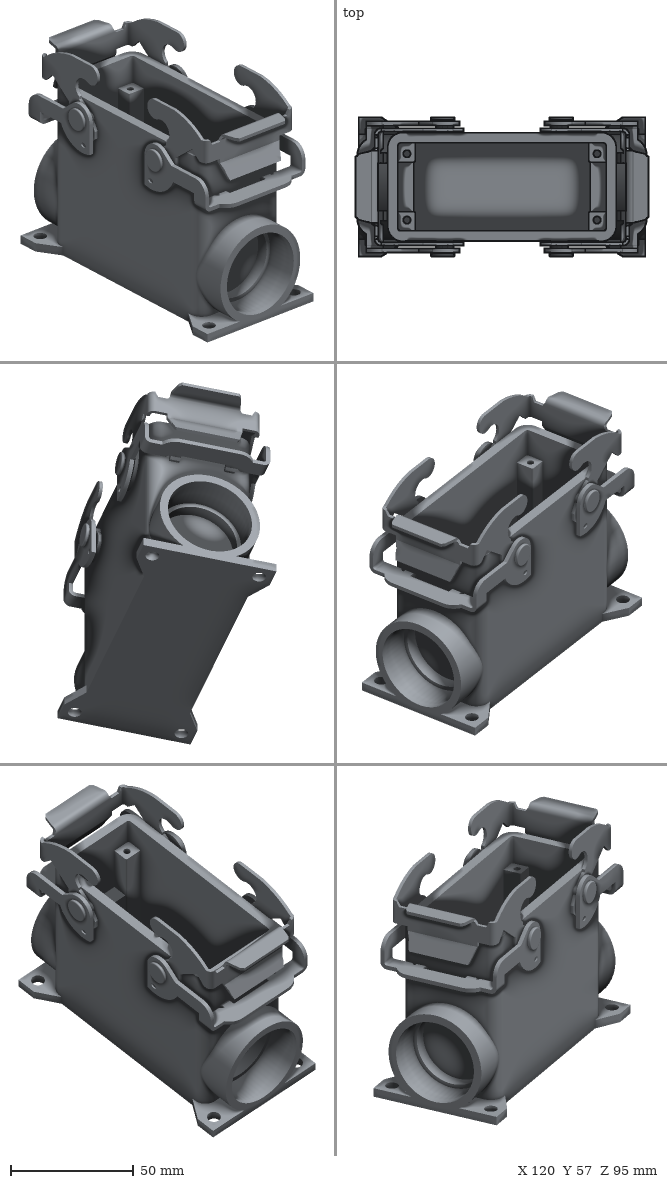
import cadquery as cq
import math

BODY_HALF_LENGTH = 46.7
BODY_HALF_WIDTH = 22.2
BODY_HEIGHT = 77.3
BODY_CORNER_RADIUS = 5.9
CAVITY_HALF_LENGTH = 42.6
CAVITY_HALF_WIDTH = 18.0
CAVITY_CORNER_RADIUS = 1.2
FLANGE_THICKNESS = 3.8
FLANGE_HALF_WIDTH = 57.0 / 2
FLANGE_END = 58.7
FLANGE_TAPER_START = 49.4
FLANGE_TAPER_END = 39.4
SCREW_HOLE_DIAMETER = 5.6
SCREW_HOLE_INSET = 5.6

ENTRY_HEIGHT = 22.1
ENTRY_RADIUS = 21.5
BORE_RADIUS = 18.0
BORE_FLOOR = 43.8
RECESS_RADIUS = 16.2
RECESS_FLOOR = 38.4
PAD_FACE = 36.0

POST_FACE = 35.5
POST_INNER_Y = 10.1
POST_HEIGHT = 64.8
POST_EDGE_RADIUS = 0.7
POST_HOLE_DIAMETER = 3.0
POST_HOLE_DEPTH = 12.0
POST_HOLE_X = 38.9
POST_HOLE_Y = 13.5
WALL_OVERLAP = 1.2

PIVOT_X = -24.2
PIVOT_Z = 70.0
HUB_RADIUS = 7.0
HUB_EDGE_X = PIVOT_X + HUB_RADIUS
PIN_HEAD_RADIUS = 9.7 / 2
PIN_HEAD_THICKNESS = 1.1
PIN_HEAD_FILLET = 0.5
PIN_COLLAR_RADIUS = 4.4
PIN_NECK_LENGTH = 7.3
PIN_NECK_WIDTH = 5.2
PIN_NECK_OFFSET = 0.8
PIN_ROOT = BODY_HALF_WIDTH - WALL_OVERLAP

HOOK_SHEET = 1.4
HOOK_OUTER_Y = 24.0
HOOK_BACK_X = -52.1
HOOK_BEND_RADIUS = 2.6
HOOK_TOP = 95.0
HOOK_SHOULDER = 87.8
HOOK_BOTTOM = 77.6
NOSE_RADIUS = 8.8 / 2
NOSE_X = -20.0
THROAT_RADIUS = 10.4 / 2
THROAT_X = -24.2
THROAT_Z = 82.4
NECK_X = -27.2
NECK_BASE_Z = 76.8
CROWN_MID = (-41.4, 92.6)
CROWN_END = (-32.4, HOOK_TOP)
NOTCH_FOOT_X = -48.1
NOTCH_APEX = (-44.0, 81.7)
NOTCH_END_Z = 73.4
TAIL_SHOULDER = (-21.6, 72.0)
TAIL_RIGHT_Z = 65.7
TAIL_LEFT_X = -33.5
TAIL_RADIUS = 9.2
TAIL_CENTRE_Z = 68.4
GRIP_TOP = 88.8
GRIP_END = -60.0
GRIP_BEND_RADIUS = 2.9
GRIP_EDGE_HALF_WIDTH = 12.2
GRIP_TIP_HALF_WIDTH = 13.4
GRIP_CORNER = 1.4
GRIP_NECK_HALF_WIDTH = 14.8
GRIP_ROOT_HALF_WIDTH = 15.8
BACK_WALL_TOP = 85.4
SHOULDER_FOOT_Y = 20.2
BACK_WALL_HALF_WIDTH = HOOK_OUTER_Y - HOOK_BEND_RADIUS
TONGUE_BEND_Z = 75.6
TONGUE_TIP_X = -55.7
TONGUE_TIP_Z = 68.3
TONGUE_ROOT_HALF_WIDTH = 16.1
TONGUE_TIP_HALF_WIDTH = 13.7
TONGUE_EDGE_HALF_WIDTH = 12.7
TONGUE_EDGE_Z = 67.4

BAIL_SHEET = 1.8
BAIL_OUTER_Y = 26.9
BAIL_BEND_RADIUS = 2.9
BAIL_BOTTOM = 57.6
BAIL_BEND_TOP = BAIL_BOTTOM + BAIL_BEND_RADIUS
BAIL_STRIP_TOP = BAIL_BOTTOM + BAIL_SHEET
BAIL_LEG_OUTER_X = -55.5
BAIL_LEG_INNER_X = -48.5
BAIL_STRIP_X = -59.3
BAIL_RECESS_X = -50.9
BAIL_ARM_TOP = 71.0
BAIL_ARM_BOTTOM = 64.0
BAIL_ELBOW_RADIUS = 6.4
RAMP_START_X = -34.0
CAM_HEEL_Z = 56.0
CAM_MID = (-26.9, 56.3)
CAM_START_X = -35.3
BULGE_MID = (-58.3, 16.4)
BULGE_FLAT_Y = 12.6
BULGE_ROOT_Y = 19.3
RELIEF_X = -49.7
RELIEF_OUTER_Y = 15.8
RELIEF_INNER_Y = 14.8
TAB_INNER_Y = 9.7
TAB_OUTER_Y = 13.9
TAB_TIP_TOP = (-46.9, 58.2)
TAB_TIP_BOTTOM = (-47.4, 56.7)
TAB_ROOT_X = BAIL_LEG_INNER_X - 1.2
DIMPLE_X = -21.1
DIMPLE_Z = 59.1
DIMPLE_LENGTH = 2.9
DIMPLE_WIDTH = 2.0
DIMPLE_DEPTH = 0.6


def block(x0, x1, y0, y1, z0, z1):
    """Box between two opposite corners."""
    return cq.Workplane("XY").box(x1 - x0, y1 - y0, z1 - z0, centered=False).translate((x0, y0, z0))


def along_y(y):
    """XZ sketch plane at the given Y; positive extrusion runs towards -Y."""
    plane = cq.Plane(origin=(0, y, 0), xDir=(1, 0, 0), normal=(0, -1, 0))
    return cq.Workplane(plane)


def mirrored_y(points):
    """Close a Y-symmetric outline given by its +Y half, as (y, other) pairs."""
    return points + [(-y, other) for y, other in reversed(points)]


def both_sides(solid, plane):
    return solid.union(solid.mirror(plane))


def round_bar(radius, x0, x1):
    """Cylinder along X on the cable entry axis."""
    return cq.Workplane("YZ", origin=(x0, 0, ENTRY_HEIGHT)).circle(radius).extrude(x1 - x0)


def mounting_flange():
    half = [
        (FLANGE_HALF_WIDTH, -FLANGE_END),
        (FLANGE_HALF_WIDTH, -FLANGE_TAPER_START),
        (BODY_HALF_WIDTH, -FLANGE_TAPER_END),
    ]
    outline = [(x, y) for y, x in mirrored_y(half)]
    hole_x = -FLANGE_END + SCREW_HOLE_INSET
    hole_y = FLANGE_HALF_WIDTH - SCREW_HOLE_INSET
    plate = cq.Workplane("XY").polyline(outline).close().extrude(FLANGE_THICKNESS)
    return (
        plate.faces(">Z").workplane(origin=(0, 0, 0))
        .pushPoints([(hole_x, hole_y), (hole_x, -hole_y)]).hole(SCREW_HOLE_DIAMETER)
    )


def insert_post():
    post = block(-CAVITY_HALF_LENGTH - WALL_OVERLAP, -POST_FACE,
                 POST_INNER_Y, CAVITY_HALF_WIDTH + WALL_OVERLAP,
                 FLANGE_THICKNESS - WALL_OVERLAP, POST_HEIGHT)
    post = post.edges("|Z and >X and <Y").fillet(POST_EDGE_RADIUS)
    hole = (
        cq.Workplane("XY", origin=(-POST_HOLE_X, POST_HOLE_Y, POST_HEIGHT))
        .circle(POST_HOLE_DIAMETER / 2).extrude(-POST_HOLE_DEPTH)
    )
    return post.cut(hole)


def housing():
    shell = (
        cq.Workplane("XY").rect(2 * BODY_HALF_LENGTH, 2 * BODY_HALF_WIDTH).extrude(BODY_HEIGHT)
        .edges("|Z").fillet(BODY_CORNER_RADIUS)
    )
    shell = shell.union(both_sides(mounting_flange(), "YZ"))
    shell = shell.union(round_bar(ENTRY_RADIUS, -FLANGE_END, FLANGE_END))
    cavity = (
        cq.Workplane("XY", origin=(0, 0, FLANGE_THICKNESS))
        .rect(2 * CAVITY_HALF_LENGTH, 2 * CAVITY_HALF_WIDTH).extrude(BODY_HEIGHT)
        .edges("|Z").fillet(CAVITY_CORNER_RADIUS)
    )
    shell = shell.cut(cavity)
    pad = block(-CAVITY_HALF_LENGTH - WALL_OVERLAP, -PAD_FACE, -CAVITY_HALF_WIDTH, CAVITY_HALF_WIDTH,
                FLANGE_THICKNESS - WALL_OVERLAP, ENTRY_HEIGHT + ENTRY_RADIUS)
    end_inserts = pad.union(both_sides(insert_post(), "XZ"))
    shell = shell.union(both_sides(end_inserts, "YZ"))
    entry = round_bar(BORE_RADIUS, -FLANGE_END, -BORE_FLOOR)
    entry = entry.union(round_bar(RECESS_RADIUS, -FLANGE_END, -RECESS_FLOOR))
    return shell.cut(both_sides(entry, "YZ"))


def hook_profile():
    """Side outline of the hooked arms, extruded across the whole lever."""
    nose_z = HOOK_TOP - NOSE_RADIUS
    lean = math.atan2(nose_z - THROAT_Z, NOSE_X - THROAT_X)
    throat_end = (NOSE_X - NOSE_RADIUS * math.cos(lean), nose_z - NOSE_RADIUS * math.sin(lean))
    neck_z = THROAT_Z - math.sqrt(THROAT_RADIUS**2 - (NECK_X - THROAT_X) ** 2)
    tail_mid = (PIVOT_X, TAIL_CENTRE_Z - TAIL_RADIUS)
    tail_end_z = TAIL_CENTRE_Z - math.sqrt(TAIL_RADIUS**2 - HUB_RADIUS**2)
    return (
        along_y(HOOK_OUTER_Y)
        .moveTo(HOOK_BACK_X, HOOK_BOTTOM)
        .lineTo(HOOK_BACK_X, HOOK_SHOULDER)
        .lineTo(HOOK_BACK_X + HOOK_BEND_RADIUS, HOOK_SHOULDER)
        .threePointArc(CROWN_MID, CROWN_END)
        .lineTo(NOSE_X, HOOK_TOP)
        .threePointArc((NOSE_X + NOSE_RADIUS, nose_z), throat_end)
        .threePointArc((THROAT_X - THROAT_RADIUS, THROAT_Z), (NECK_X, neck_z))
        .lineTo(NECK_X, NECK_BASE_Z)
        .threePointArc(TAIL_SHOULDER, (HUB_EDGE_X, TAIL_RIGHT_Z))
        .lineTo(HUB_EDGE_X, tail_end_z)
        .threePointArc(tail_mid, (TAIL_LEFT_X, TAIL_CENTRE_Z))
        .lineTo(TAIL_LEFT_X, NOTCH_END_Z)
        .lineTo(*NOTCH_APEX)
        .lineTo(NOTCH_FOOT_X, HOOK_BOTTOM)
        .close().extrude(2 * HOOK_OUTER_Y)
    )


def hook_arms():
    """Both hooked arms with their rounded corners; the back wall is left open."""
    length = BODY_HALF_LENGTH
    outer = block(HOOK_BACK_X, HOOK_BACK_X + length, -HOOK_OUTER_Y, HOOK_OUTER_Y, 0, HOOK_TOP)
    outer = outer.edges("|Z and <X").fillet(HOOK_BEND_RADIUS)
    inner_y = HOOK_OUTER_Y - HOOK_SHEET
    inner = block(HOOK_BACK_X + HOOK_SHEET, HOOK_BACK_X + length, -inner_y, inner_y, 0, HOOK_TOP)
    inner = inner.edges("|Z and <X").fillet(HOOK_BEND_RADIUS - HOOK_SHEET)
    opening = block(HOOK_BACK_X, HOOK_BACK_X + HOOK_SHEET, -BACK_WALL_HALF_WIDTH, BACK_WALL_HALF_WIDTH,
                    0, HOOK_TOP)
    return hook_profile().intersect(outer.cut(inner).cut(opening))


def back_sheet():
    """Bent sheet: thumb grip on top, back wall, tongue slanting outwards below."""
    inner_x = HOOK_BACK_X + HOOK_SHEET
    grip_bottom = GRIP_TOP - HOOK_SHEET
    bend_x = inner_x - GRIP_BEND_RADIUS
    bend_z = GRIP_TOP - GRIP_BEND_RADIUS
    diagonal = math.sqrt(0.5)
    outer_mid = (bend_x + GRIP_BEND_RADIUS * diagonal, bend_z + GRIP_BEND_RADIUS * diagonal)
    small = GRIP_BEND_RADIUS - HOOK_SHEET
    inner_mid = (bend_x + small * diagonal, bend_z + small * diagonal)
    slant = math.atan2(HOOK_BACK_X - TONGUE_TIP_X, TONGUE_BEND_Z - TONGUE_TIP_Z)
    tip_inner = (TONGUE_TIP_X + HOOK_SHEET * math.cos(slant), TONGUE_TIP_Z - HOOK_SHEET * math.sin(slant))
    inner_bend_z = TONGUE_BEND_Z - HOOK_SHEET * math.tan(slant / 2)
    sheet = (
        along_y(HOOK_OUTER_Y)
        .moveTo(GRIP_END, GRIP_TOP)
        .lineTo(bend_x, GRIP_TOP)
        .threePointArc(outer_mid, (inner_x, bend_z))
        .lineTo(inner_x, inner_bend_z)
        .lineTo(*tip_inner)
        .lineTo(TONGUE_TIP_X, TONGUE_TIP_Z)
        .lineTo(HOOK_BACK_X, TONGUE_BEND_Z)
        .lineTo(HOOK_BACK_X, bend_z)
        .threePointArc(inner_mid, (bend_x, grip_bottom))
        .lineTo(GRIP_END, grip_bottom)
        .close().extrude(2 * HOOK_OUTER_Y)
    )
    face = mirrored_y([
        (TONGUE_EDGE_HALF_WIDTH, TONGUE_EDGE_Z), (TONGUE_TIP_HALF_WIDTH, TONGUE_TIP_Z),
        (TONGUE_ROOT_HALF_WIDTH, TONGUE_BEND_Z), (TONGUE_ROOT_HALF_WIDTH, HOOK_BOTTOM),
        (BACK_WALL_HALF_WIDTH, HOOK_BOTTOM), (BACK_WALL_HALF_WIDTH, HOOK_SHOULDER),
        (SHOULDER_FOOT_Y, BACK_WALL_TOP), (GRIP_ROOT_HALF_WIDTH, BACK_WALL_TOP),
        (GRIP_NECK_HALF_WIDTH, grip_bottom), (GRIP_NECK_HALF_WIDTH, GRIP_TOP),
    ])
    face = cq.Workplane("YZ", origin=(GRIP_END, 0, 0)).polyline(face).close().extrude(BODY_HALF_LENGTH)
    plan = mirrored_y([
        (GRIP_EDGE_HALF_WIDTH, GRIP_END), (GRIP_TIP_HALF_WIDTH, GRIP_END + GRIP_CORNER),
        (GRIP_NECK_HALF_WIDTH, bend_x), (TONGUE_ROOT_HALF_WIDTH, HOOK_BACK_X),
        (HOOK_OUTER_Y, HOOK_BACK_X), (HOOK_OUTER_Y, PIVOT_X),
    ])
    plan = [(x, y) for y, x in plan]
    plan = cq.Workplane("XY").polyline(plan).close().extrude(HOOK_TOP)
    return sheet.intersect(face).intersect(plan)


def bail_arms():
    """The two side arms, from the top of the strip bend to the cam around the pivot."""
    elbow_x = BAIL_LEG_OUTER_X + BAIL_ELBOW_RADIUS
    elbow_z = BAIL_ARM_TOP - BAIL_ELBOW_RADIUS
    elbow_shift = BAIL_ELBOW_RADIUS * math.sqrt(0.5)
    ramp_start = (RAMP_START_X, BAIL_ARM_TOP)
    reach = math.hypot(PIVOT_X - ramp_start[0], PIVOT_Z - ramp_start[1])
    bearing = math.atan2(PIVOT_Z - ramp_start[1], PIVOT_X - ramp_start[0])
    normal = bearing + math.asin(HUB_RADIUS / reach) + math.pi / 2
    hub_start = (PIVOT_X + HUB_RADIUS * math.cos(normal), PIVOT_Z + HUB_RADIUS * math.sin(normal))
    hub_mid = (PIVOT_X + HUB_RADIUS * math.cos(normal / 2), PIVOT_Z + HUB_RADIUS * math.sin(normal / 2))
    arm = (
        along_y(BAIL_OUTER_Y - BAIL_SHEET)
        .moveTo(BAIL_LEG_OUTER_X, BAIL_BEND_TOP)
        .lineTo(BAIL_LEG_OUTER_X, elbow_z)
        .threePointArc((elbow_x - elbow_shift, elbow_z + elbow_shift), (elbow_x, BAIL_ARM_TOP))
        .lineTo(*ramp_start)
        .lineTo(*hub_start)
        .threePointArc(hub_mid, (HUB_EDGE_X, PIVOT_Z))
        .lineTo(HUB_EDGE_X, CAM_HEEL_Z)
        .threePointArc(CAM_MID, (CAM_START_X, BAIL_ARM_BOTTOM))
        .lineTo(BAIL_LEG_INNER_X, BAIL_ARM_BOTTOM)
        .lineTo(BAIL_LEG_INNER_X, BAIL_BEND_TOP)
        .close().extrude(-BAIL_SHEET)
    )
    dimple = (
        along_y(BAIL_OUTER_Y).center(DIMPLE_X, DIMPLE_Z)
        .ellipse(DIMPLE_LENGTH / 2, DIMPLE_WIDTH / 2).extrude(DIMPLE_DEPTH)
    )
    return both_sides(arm.cut(dimple), "XZ")


def bail_strip():
    """Bottom strip with upturned ends, bulged outwards and recessed inside."""
    inner_y = BAIL_OUTER_Y - BAIL_SHEET
    outer = block(BAIL_STRIP_X, BAIL_LEG_INNER_X, -BAIL_OUTER_Y, BAIL_OUTER_Y, BAIL_BOTTOM, BODY_HEIGHT)
    outer = outer.edges("|X and <Z").fillet(BAIL_BEND_RADIUS)
    inner = block(BAIL_STRIP_X, BAIL_LEG_INNER_X, -inner_y, inner_y, BAIL_STRIP_TOP, BODY_HEIGHT)
    inner = inner.edges("|X and <Z").fillet(BAIL_BEND_RADIUS - BAIL_SHEET)
    bulge_mid_x, bulge_mid_y = BULGE_MID
    half = [
        (BAIL_OUTER_Y, BAIL_LEG_INNER_X), (RELIEF_OUTER_Y, BAIL_LEG_INNER_X),
        (RELIEF_INNER_Y, RELIEF_X), (TAB_OUTER_Y, RELIEF_X),
        (TAB_OUTER_Y, BAIL_LEG_INNER_X), (TAB_INNER_Y, BAIL_LEG_INNER_X),
        (TAB_INNER_Y, BAIL_RECESS_X),
    ]
    inner_edge = [(x, y) for y, x in mirrored_y(half)]
    plan = (
        cq.Workplane("XY", origin=(0, 0, BAIL_BOTTOM))
        .moveTo(BAIL_LEG_OUTER_X, BAIL_OUTER_Y)
        .polyline(inner_edge, includeCurrent=True)
        .lineTo(BAIL_LEG_OUTER_X, -BAIL_OUTER_Y)
        .lineTo(BAIL_LEG_OUTER_X, -BULGE_ROOT_Y)
        .threePointArc((bulge_mid_x, -bulge_mid_y), (BAIL_STRIP_X, -BULGE_FLAT_Y))
        .lineTo(BAIL_STRIP_X, BULGE_FLAT_Y)
        .threePointArc(BULGE_MID, (BAIL_LEG_OUTER_X, BULGE_ROOT_Y))
        .close().extrude(BAIL_BEND_RADIUS)
    )
    tab = (
        along_y(TAB_INNER_Y)
        .moveTo(TAB_ROOT_X, BAIL_STRIP_TOP)
        .lineTo(BAIL_LEG_INNER_X, BAIL_STRIP_TOP)
        .lineTo(*TAB_TIP_TOP)
        .lineTo(*TAB_TIP_BOTTOM)
        .lineTo(BAIL_LEG_INNER_X, TAB_TIP_BOTTOM[1])
        .lineTo(TAB_ROOT_X, BAIL_BOTTOM)
        .close().extrude(TAB_INNER_Y - TAB_OUTER_Y)
    )
    return outer.cut(inner).intersect(plan).union(both_sides(tab, "XZ"))


def pivot_pin():
    head_y = FLANGE_HALF_WIDTH - PIN_HEAD_THICKNESS
    neck_y = BAIL_OUTER_Y
    head = along_y(head_y).center(PIVOT_X, PIVOT_Z).circle(PIN_HEAD_RADIUS).extrude(-PIN_HEAD_THICKNESS)
    head = head.faces(">Y").edges().fillet(PIN_HEAD_FILLET)
    collar = along_y(neck_y).center(PIVOT_X, PIVOT_Z).circle(PIN_COLLAR_RADIUS).extrude(neck_y - head_y)
    neck = (
        along_y(PIN_ROOT).center(PIVOT_X + PIN_NECK_OFFSET, PIVOT_Z)
        .slot2D(PIN_NECK_LENGTH, PIN_NECK_WIDTH).extrude(PIN_ROOT - neck_y)
    )
    return head.union(collar).union(neck)


def lever_set():
    """Both levers with their pins, at the -X end."""
    hook_lever = hook_arms().union(back_sheet())
    bail_lever = bail_arms().union(bail_strip())
    return hook_lever.union(bail_lever).union(both_sides(pivot_pin(), "XZ"))


result = housing().union(both_sides(lever_set(), "YZ"))